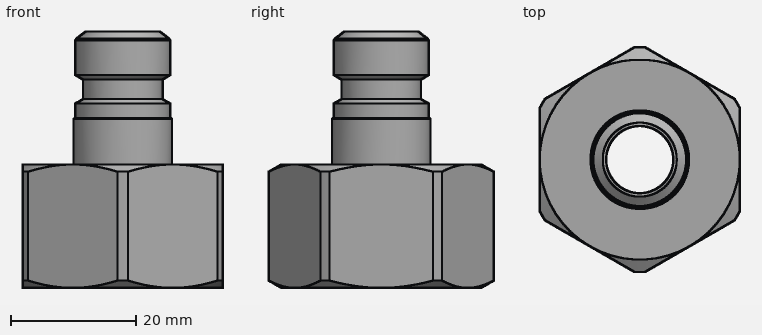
import cadquery as cq
import math

total_height = 41.0
bore_diameter = 10.7

hex_height = 19.72
across_flats = 32.0
across_corners = 36.0
hex_chamfer_angle = 30.0

collar_diameter = 15.8
nose_diameter = 15.25
groove_diameter = 12.8
tip_diameter = 11.85

collar_top = 26.98
nose_start = 27.2
groove_lower_edge = 29.45
groove_bottom = 30.18
groove_top = 33.3
groove_upper_edge = 34.05
nose_edge = 39.52
nose_break_end = 39.85
nose_break_inset = 0.2


def hex_body():
    """Hexagon with flats facing X, turned corners and both ends chamfered."""
    hexagon = (
        cq.Workplane("XY")
        .polygon(6, across_flats, circumscribed=True)
        .extrude(hex_height)
    )
    flat_radius = across_flats / 2
    corner_radius = across_corners / 2
    chamfer_height = (corner_radius - flat_radius) * math.tan(math.radians(hex_chamfer_angle))
    envelope = (
        cq.Workplane("XZ")
        .moveTo(0, 0)
        .lineTo(flat_radius, 0)
        .lineTo(corner_radius, chamfer_height)
        .lineTo(corner_radius, hex_height - chamfer_height)
        .lineTo(flat_radius, hex_height)
        .lineTo(0, hex_height)
        .close()
        .revolve(360, (0, 0, 0), (0, 1, 0))
    )
    return hexagon.intersect(envelope)


def stem():
    """Turned plug with a collar, a locking groove and a tapered nose."""
    nose_radius = nose_diameter / 2
    profile = [
        (0, 0),
        (collar_diameter / 2, 0),
        (collar_diameter / 2, collar_top),
        (nose_radius, nose_start),
        (nose_radius, groove_lower_edge),
        (groove_diameter / 2, groove_bottom),
        (groove_diameter / 2, groove_top),
        (nose_radius, groove_upper_edge),
        (nose_radius, nose_edge),
        (nose_radius - nose_break_inset, nose_break_end),
        (tip_diameter / 2, total_height),
        (0, total_height),
    ]
    return cq.Workplane("XZ").polyline(profile).close().revolve(360, (0, 0, 0), (0, 1, 0))


bore = cq.Workplane("XY").circle(bore_diameter / 2).extrude(total_height)
result = hex_body().union(stem()).cut(bore)